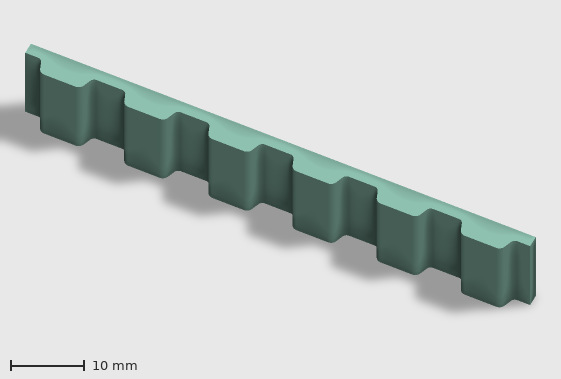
import cadquery as cq
import math

length = 76.2
width = 12.7
tooth_count = 6
pitch = length / tooth_count

total_height = 4.05
tooth_height = 2.3
backing = total_height - tooth_height

root_width = 7.8
flank_angle = math.radians(20)
tip_width = root_width - 2 * tooth_height * math.tan(flank_angle)
tip_radius = 1.0
root_radius = 0.8

root_y = -backing
tip_y = -total_height


def tooth_corners(center_x):
    """Sharp corners of one tooth, from left root to right root."""
    return [
        (center_x - root_width / 2, root_y),
        (center_x - tip_width / 2, tip_y),
        (center_x + tip_width / 2, tip_y),
        (center_x + root_width / 2, root_y),
    ]


outline = [(0, 0), (0, root_y)]
for index in range(tooth_count):
    outline += tooth_corners((index + 0.5) * pitch)
outline += [(length, root_y), (length, 0)]

belt = cq.Workplane("XY").polyline(outline).close().extrude(width)

belt = belt.faces("<Y").edges("|Z").fillet(tip_radius)

selector_margin = 0.1
root_edges = cq.selectors.BoxSelector(
    (selector_margin, root_y - selector_margin, -selector_margin),
    (length - selector_margin, root_y + selector_margin, width + selector_margin),
)
result = belt.edges("|Z").edges(root_edges).fillet(root_radius)